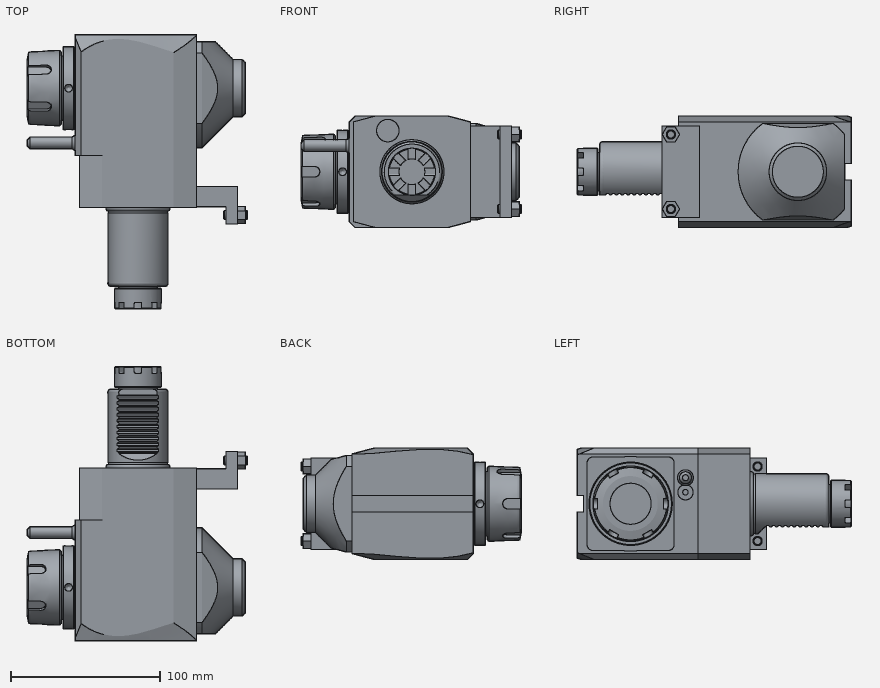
import cadquery as cq
import math


HALF_HEIGHT = 37.5
RIGHT_X = 39.4
UPPER_LEFT_X = -42.1
BACK_Y = 116.1
STEP_Y = 35.0
CORNER_CHAMFER = 4.0
BEVEL_RUN = 15.3
BEVEL_SLOPE = math.tan(math.radians(15))
BEVEL_DROP = BEVEL_RUN * BEVEL_SLOPE
SPINDLE_Y = 80.2
CROWN_ANGLE = 17.0
CROWN_REACH = 29.5
CROWN_EDGE = [(-42.1, 33.0), (-28.5, 35.7), (-13.6, 36.6), (7.4, 35.5), (22.0, 34.0), (39.4, 33.3)]
SLOT_DEPTH = 4.2
SLOT_WIDTH = 10.9

SEAT_WIDTH = 58.5
SEAT_HEIGHT = 63.0
SEAT_RADIUS = 4.2
SEAT_ROUND_RADIUS = 31.8
SHALLOW = 0.2
PIN_Y = 43.5
PIN_Z = 17.5
PIN_RADIUS = 4.0
PIN_TIP_X = -74.3
PIN_TIP_RADIUS = 2.0
PIN_FOOT_RADIUS = 5.3
PIN_FOOT_LENGTH = 2.0
PORT_Z = 7.7
PORT_RADIUS = 5.2
PORT_HOLE_RADIUS = 1.8
PORT_HOLE_DEPTH = 1.8

NUT_FACE_X = -74.5
NUT_SHOULDER_X = -73.5
NUT_FRONT_X = -72.0
NUT_REAR_X = -51.3
NUT_FACE_RADIUS = 18.4
NUT_SHOULDER_RADIUS = 24.3
NUT_FRONT_RADIUS = 24.7
NUT_RADIUS = 25.4
NUT_CHAMFER = 1.3
NUT_BORE_RADIUS = 13.8
NUT_BORE_DEPTH = 1.8
NECK_RADIUS = 21.7
COLLAR_FRONT_X = -50.5
COLLAR_REAR_X = -42.7
COLLAR_RADIUS = 28.0
COLLAR_CHAMFER = 0.5
COLLAR_SEAT_RADIUS = 26.7
LONG_SLOT_ANGLES = (-30, 30)
SHORT_SLOT_ANGLES = (90, 150, 210, 270)
NUT_SLOT_WIDTH = 7.0
LONG_SLOT_END_X = -58.1
SHORT_SLOT_END_X = -61.8
NUT_SLOT_FLOOR_RADIUS = 22.0
COLLAR_HOLE_ANGLES = (0, 90, 180, 270)
COLLAR_HOLE_RADIUS = 2.5
COLLAR_HOLE_DEPTH = 1.1

COVER_RADIUS = 40.1
COVER_RIM = 3.7
COVER_FLAT_Y = 31.3
COVER_END_X = 72.1
COVER_END_RADIUS = 19.3
COVER_CHAMFER = 2.2

SHANK_RADIUS = 20.2
SHANK_LENGTH = 52.8
SHANK_TIP_RADIUS = 18.5
SHANK_ROUND_START = 50.0
SHANK_ROUND_MIDDLE = (19.9, -51.9)
FLANGE_RADIUS = 21.5
FLANGE_LENGTH = 2.4
FLANGE_ROUND_MIDDLE = (21.2, -1.7)
FLANGE_EDGE_RADIUS = 20.5
UNDERCUT_RADIUS = 19.9
UNDERCUT_END = 3.5
DRIVE_NECK_RADIUS = 13.0
DRIVE_START = 54.0
DRIVE_END = 67.9
DRIVE_RADIUS = 15.8
DRIVE_CHAMFER = 0.5
DRIVE_HUB_RADIUS = 8.6
DRIVE_SLOT_COUNT = 8
DRIVE_SLOT_WIDTH = 5.0
DRIVE_SLOT_DEPTH = 4.5
DRIVE_SLOT_FILLET = 1.0
FLAT_Z = -15.6
FLAT_START = 9.8
GROOVE_COUNT = 10
GROOVE_START = 11.8
GROOVE_END = 47.5
GROOVE_PITCH = (GROOVE_END - GROOVE_START) / (GROOVE_COUNT - 1)
GROOVE_DEPTH = 1.0
GROOVE_TOP = 3.1
GROOVE_FLOOR = 1.3

MARK_X = -16.2
MARK_Z = 27.6
MARK_RADIUS = 7.5
MARK_DEPTH = 1.1

BRACKET_BACK_Y = 14.4
BRACKET_FRONT_Y = 0.5
BRACKET_END_X = 67.0
BRACKET_LEG_X = 59.0
BRACKET_LEG_Y = -11.0
BRACKET_HEIGHT = 61.5
SCREW_Y = -5.0
SCREW_Z = 25.0
SCREW_RADIUS = 3.1
SCREW_CHAMFER = 0.7
SCREW_START_X = 57.5
SCREW_END_X = 73.6
HEX_CORNERS = 11.5
HEX_THICKNESS = 5.2

MARGIN = 9.2


def box(x_min, x_max, y_min, y_max, z_min, z_max):
    """Box between the given limits."""
    size = (x_max - x_min, y_max - y_min, z_max - z_min)
    return cq.Workplane("XY").box(*size, centered=False).translate((x_min, y_min, z_min))


def extrude_along_y(points, y_min, y_max):
    """Prism of an (X, Z) outline between two Y positions."""
    return cq.Workplane("XZ", origin=(0, y_max, 0)).polyline(points).close().extrude(y_max - y_min)


def turn_about_x(profile, y, z):
    """Solid of revolution from (X, radius) points about the line parallel to X through (y, z)."""
    outline = [(profile[0][0], 0)] + profile + [(profile[-1][0], 0)]
    return cq.Workplane("XY").polyline(outline).close().revolve(360, (0, 0), (1, 0)).translate((0, y, z))


def cylinder_along_x(x_min, x_max, radius, y, z):
    """Cylinder parallel to X."""
    return cq.Workplane("YZ", origin=(x_min, y, z)).circle(radius).extrude(x_max - x_min)


def housing_section(left_x, left_run, left_drop):
    """Eight-sided (X, Z) outline with a chamfered left side and a bevelled right side."""
    upper = [
        (left_x, HALF_HEIGHT - left_drop),
        (left_x + left_run, HALF_HEIGHT),
        (RIGHT_X - BEVEL_RUN, HALF_HEIGHT),
        (RIGHT_X, HALF_HEIGHT - BEVEL_DROP),
    ]
    return upper + [(x, -z) for x, z in reversed(upper)]


def crown_cutter():
    """Stock above the arched slope that falls towards the back face."""
    angle = math.radians(CROWN_ANGLE)
    base_z = CROWN_EDGE[0][1]
    plane = cq.Plane(
        origin=(0, BACK_Y, base_z), xDir=(1, 0, 0), normal=(0, -math.cos(angle), math.sin(angle))
    )
    edge = [(x, (z - base_z) * math.cos(angle)) for x, z in CROWN_EDGE]
    return (
        cq.Workplane(plane)
        .moveTo(*edge[0])
        .spline(edge[1:], includeCurrent=True)
        .lineTo(RIGHT_X + MARGIN, edge[-1][1])
        .lineTo(RIGHT_X + MARGIN, MARGIN)
        .lineTo(UPPER_LEFT_X - MARGIN, MARGIN)
        .lineTo(UPPER_LEFT_X - MARGIN, edge[0][1])
        .close()
        .extrude(CROWN_REACH, both=True)
    )


def spindle_seat():
    """Shallow rounded rectangle merged with a round seat that is trimmed at its sides."""
    face = cq.Workplane("YZ", origin=(UPPER_LEFT_X, SPINDLE_Y, 0))
    pad = face.rect(SEAT_WIDTH, SEAT_HEIGHT).extrude(SHALLOW).edges("|X").fillet(SEAT_RADIUS)
    trim = face.rect(SEAT_WIDTH, 2 * SEAT_ROUND_RADIUS + MARGIN).extrude(SHALLOW)
    return pad.union(face.circle(SEAT_ROUND_RADIUS).extrude(SHALLOW).intersect(trim))


def make_housing():
    """Main block with its step, crowned back, key slot and shallow face details."""
    upper = extrude_along_y(housing_section(UPPER_LEFT_X, CORNER_CHAMFER, CORNER_CHAMFER), STEP_Y, BACK_Y)
    lower = extrude_along_y(housing_section(-RIGHT_X, BEVEL_RUN, BEVEL_DROP), 0, STEP_Y)
    crown = crown_cutter()
    upper = upper.cut(crown).cut(crown.mirror("XY"))
    half_slot = SLOT_WIDTH / 2
    slot = box(
        UPPER_LEFT_X - MARGIN, RIGHT_X + MARGIN, BACK_Y - SLOT_DEPTH, BACK_Y + MARGIN, -half_slot, half_slot
    )
    seat = spindle_seat()
    port = cylinder_along_x(UPPER_LEFT_X, UPPER_LEFT_X + SHALLOW, PORT_RADIUS, PIN_Y, PORT_Z)
    port_hole = cylinder_along_x(
        UPPER_LEFT_X, UPPER_LEFT_X + PORT_HOLE_DEPTH, PORT_HOLE_RADIUS, PIN_Y, PORT_Z
    )
    mark = (
        cq.Workplane("XZ", origin=(MARK_X, MARK_DEPTH, MARK_Z)).circle(MARK_RADIUS).extrude(MARK_DEPTH)
    )
    return upper.union(lower).cut(slot).cut(seat).cut(port).cut(port_hole).cut(mark)


def nut_slot(end_x):
    """Round-ended wrench slot on the +Z side of the nut."""
    half_width = NUT_SLOT_WIDTH / 2
    return (
        cq.Workplane("XY", origin=(0, SPINDLE_Y, NUT_SLOT_FLOOR_RADIUS))
        .moveTo(NUT_FACE_X - MARGIN, -half_width)
        .lineTo(end_x - half_width, -half_width)
        .threePointArc((end_x, 0), (end_x - half_width, half_width))
        .lineTo(NUT_FACE_X - MARGIN, half_width)
        .close()
        .extrude(MARGIN)
    )


def collar_hole():
    """Blind drilled hole with a conical bottom on the +Z side of the collar."""
    center_x = (COLLAR_FRONT_X + COLLAR_REAR_X) / 2
    floor = COLLAR_RADIUS - COLLAR_HOLE_DEPTH
    outline = [
        (0, floor - COLLAR_HOLE_RADIUS),
        (COLLAR_HOLE_RADIUS, floor),
        (COLLAR_HOLE_RADIUS, COLLAR_RADIUS + MARGIN),
        (0, COLLAR_RADIUS + MARGIN),
    ]
    hole = cq.Workplane("XZ").polyline(outline).close().revolve(360, (0, 0), (0, 1))
    return hole.translate((center_x, SPINDLE_Y, 0))


def cut_around_spindle(body, cutter, angles):
    """Cut copies of a cutter turned to the given angles about the spindle axis."""
    for angle in angles:
        body = body.cut(cutter.rotate((0, SPINDLE_Y, 0), (1, SPINDLE_Y, 0), angle))
    return body


def make_spindle_nose():
    """Collet nut, neck and collar."""
    profile = [
        (NUT_FACE_X, NUT_FACE_RADIUS),
        (NUT_SHOULDER_X, NUT_SHOULDER_RADIUS),
        (NUT_FRONT_X, NUT_FRONT_RADIUS),
        (NUT_REAR_X - NUT_CHAMFER, NUT_RADIUS),
        (NUT_REAR_X, NUT_RADIUS - NUT_CHAMFER),
        (NUT_REAR_X, NECK_RADIUS),
        (COLLAR_FRONT_X, NECK_RADIUS),
        (COLLAR_FRONT_X, COLLAR_RADIUS - COLLAR_CHAMFER),
        (COLLAR_FRONT_X + COLLAR_CHAMFER, COLLAR_RADIUS),
        (COLLAR_REAR_X - COLLAR_CHAMFER, COLLAR_RADIUS),
        (COLLAR_REAR_X, COLLAR_RADIUS - COLLAR_CHAMFER),
        (COLLAR_REAR_X, COLLAR_SEAT_RADIUS),
        (UPPER_LEFT_X + SHALLOW, COLLAR_SEAT_RADIUS),
    ]
    nose = turn_about_x(profile, SPINDLE_Y, 0)
    nose = nose.cut(cylinder_along_x(NUT_FACE_X, NUT_FACE_X + NUT_BORE_DEPTH, NUT_BORE_RADIUS, SPINDLE_Y, 0))
    nose = cut_around_spindle(nose, nut_slot(LONG_SLOT_END_X), LONG_SLOT_ANGLES)
    nose = cut_around_spindle(nose, nut_slot(SHORT_SLOT_END_X), SHORT_SLOT_ANGLES)
    return cut_around_spindle(nose, collar_hole(), COLLAR_HOLE_ANGLES)


def make_pin():
    """Coolant pin with a chamfered tip and a flared foot."""
    profile = [
        (PIN_TIP_X, PIN_TIP_RADIUS),
        (PIN_TIP_X + PIN_RADIUS - PIN_TIP_RADIUS, PIN_RADIUS),
        (UPPER_LEFT_X - PIN_FOOT_LENGTH, PIN_RADIUS),
        (UPPER_LEFT_X, PIN_FOOT_RADIUS),
        (UPPER_LEFT_X + PIN_FOOT_LENGTH, PIN_FOOT_RADIUS),
    ]
    return turn_about_x(profile, PIN_Y, PIN_Z)


def make_cover():
    """45 degree conical cover, trimmed by sloping flats above and below and a flat at the back."""
    rim_x = RIGHT_X + COVER_RIM
    profile = [
        (RIGHT_X, COVER_RADIUS),
        (rim_x, COVER_RADIUS),
        (rim_x + COVER_RADIUS - COVER_END_RADIUS, COVER_END_RADIUS),
        (COVER_END_X - COVER_CHAMFER, COVER_END_RADIUS),
        (COVER_END_X, COVER_END_RADIUS - COVER_CHAMFER),
    ]
    rim_z = HALF_HEIGHT - (BEVEL_RUN + COVER_RIM) * BEVEL_SLOPE
    end_z = rim_z - (COVER_END_X - rim_x) * BEVEL_SLOPE
    upper = [(RIGHT_X, rim_z), (rim_x, rim_z), (COVER_END_X, end_z)]
    envelope = extrude_along_y(
        upper + [(x, -z) for x, z in reversed(upper)],
        SPINDLE_Y - COVER_RADIUS - MARGIN,
        SPINDLE_Y + COVER_FLAT_Y,
    )
    return turn_about_x(profile, SPINDLE_Y, 0).intersect(envelope)


def make_shank():
    """Flanged cylindrical shank with a serrated flat underneath."""
    shank = (
        cq.Workplane("XY")
        .lineTo(FLANGE_RADIUS, 0)
        .threePointArc(FLANGE_ROUND_MIDDLE, (FLANGE_EDGE_RADIUS, -FLANGE_LENGTH))
        .lineTo(UNDERCUT_RADIUS, -FLANGE_LENGTH)
        .lineTo(UNDERCUT_RADIUS, -UNDERCUT_END)
        .lineTo(SHANK_RADIUS, -UNDERCUT_END)
        .lineTo(SHANK_RADIUS, -SHANK_ROUND_START)
        .threePointArc(SHANK_ROUND_MIDDLE, (SHANK_TIP_RADIUS, -SHANK_LENGTH))
        .lineTo(0, -SHANK_LENGTH)
        .close()
        .revolve(360, (0, 0), (0, 1))
    )
    depth = FLANGE_RADIUS + FLAT_Z
    flat = [
        (-FLAT_START, FLAT_Z),
        (depth - FLAT_START, FLAT_Z - depth),
        (-SHANK_LENGTH - MARGIN, FLAT_Z - depth),
        (-SHANK_LENGTH - MARGIN, FLAT_Z),
    ]
    shank = shank.cut(cq.Workplane("YZ").polyline(flat).close().extrude(SHANK_RADIUS, both=True))
    for index in range(GROOVE_COUNT):
        y = -GROOVE_START - index * GROOVE_PITCH
        groove = [
            (y - GROOVE_TOP / 2, FLAT_Z),
            (y - GROOVE_FLOOR / 2, FLAT_Z + GROOVE_DEPTH),
            (y + GROOVE_FLOOR / 2, FLAT_Z + GROOVE_DEPTH),
            (y + GROOVE_TOP / 2, FLAT_Z),
        ]
        shank = shank.cut(cq.Workplane("YZ").polyline(groove).close().extrude(SHANK_RADIUS, both=True))
    return shank


def make_drive_nut():
    """Neck and slotted nut at the end of the shank, with a plain hub in the middle."""
    neck = cq.Workplane("XZ", origin=(0, -SHANK_LENGTH, 0)).circle(DRIVE_NECK_RADIUS)
    neck = neck.extrude(DRIVE_START - SHANK_LENGTH)
    nut = cq.Workplane("XZ", origin=(0, -DRIVE_START, 0)).circle(DRIVE_RADIUS)
    nut = nut.extrude(DRIVE_END - DRIVE_START).edges().chamfer(DRIVE_CHAMFER)
    slot = box(
        0, DRIVE_RADIUS + MARGIN,
        -DRIVE_END, DRIVE_SLOT_DEPTH - DRIVE_END,
        -DRIVE_SLOT_WIDTH / 2, DRIVE_SLOT_WIDTH / 2,
    )
    slot = slot.edges("|X and >Y").fillet(DRIVE_SLOT_FILLET)
    for index in range(DRIVE_SLOT_COUNT):
        nut = nut.cut(slot.rotate((0, 0, 0), (0, 1, 0), index * 360 / DRIVE_SLOT_COUNT))
    hub = cq.Workplane("XZ", origin=(0, -DRIVE_START, 0)).circle(DRIVE_HUB_RADIUS)
    return neck.union(nut).union(hub.extrude(DRIVE_END - DRIVE_START))


def make_screw(z):
    """Clamp screw through the bracket leg with its hexagon nut."""
    stud = cylinder_along_x(SCREW_START_X, SCREW_END_X, SCREW_RADIUS, SCREW_Y, z)
    stud = stud.edges().chamfer(SCREW_CHAMFER)
    nut = cq.Workplane("YZ", origin=(BRACKET_END_X, SCREW_Y, z)).polygon(6, HEX_CORNERS)
    return stud.union(nut.extrude(HEX_THICKNESS))


def make_bracket():
    """L-shaped bracket with two clamp screws."""
    outline = [
        (RIGHT_X, BRACKET_BACK_Y),
        (BRACKET_END_X, BRACKET_BACK_Y),
        (BRACKET_END_X, BRACKET_LEG_Y),
        (BRACKET_LEG_X, BRACKET_LEG_Y),
        (BRACKET_LEG_X, BRACKET_FRONT_Y),
        (RIGHT_X, BRACKET_FRONT_Y),
    ]
    bracket = cq.Workplane("XY").polyline(outline).close().extrude(BRACKET_HEIGHT / 2, both=True)
    for z in (-SCREW_Z, SCREW_Z):
        bracket = bracket.union(make_screw(z))
    return bracket


result = (
    make_housing()
    .union(make_spindle_nose())
    .union(make_pin())
    .union(make_cover())
    .union(make_shank())
    .union(make_drive_nut())
    .union(make_bracket())
)